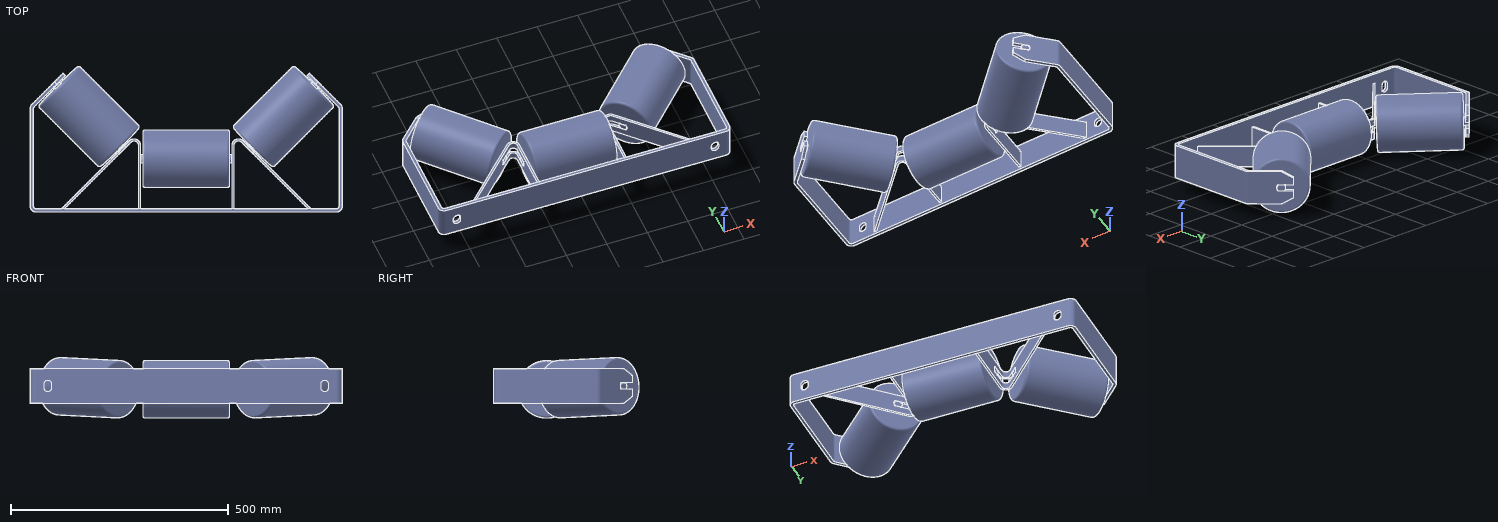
import cadquery as cq
import math


LEAN_ANGLE = 45.0
ROOT2 = math.sqrt(2)

FRAME_LENGTH = 720.0
FRAME_WIDTH = 80.0
FRAME_THICKNESS = 8.0
FRAME_INNER_RADIUS = 6.5
ARM_TIP_Y = 320.5
ARM_CHAMFER_LENGTH = 28.0
ARM_CHAMFER_WIDTH = 16.0
MOUNT_HOLE_INSET = 41.0
MOUNT_HOLE_WIDTH = 18.0
MOUNT_HOLE_HEIGHT = 26.0

ROLLER_DIAMETER = 133.0
ROLLER_LENGTH = 200.0
ROLLER_FILLET = 6.0
AXLE_DIAMETER = 20.0
AXLE_FLAT_WIDTH = 14.0
AXLE_SHOULDER = 4.0
ROLLER_GAP = 5.0
MIDDLE_ROLLER_Y = 123.0
SIDE_ROLLER_X = 224.0
SIDE_ROLLER_Y = 220.0
SIDE_ROLLER_TILT = 2.0

BRACKET_WIDTH = 50.0
BRACKET_THICKNESS = 5.0
BRACKET_INNER_RADIUS = 10.0
BRACKET_Z = -8.0

SLOT_WIDTH = 15.0
SLOT_END_RADIUS = 11.0

half_length = FRAME_LENGTH / 2
half_width = FRAME_WIDTH / 2
bracket_face = ROLLER_LENGTH / 2 + ROLLER_GAP
arm_face = ROLLER_LENGTH / 2 + ROLLER_GAP + FRAME_THICKNESS
inner_stub = ROLLER_GAP + BRACKET_THICKNESS
outer_stub = ROLLER_GAP + FRAME_THICKNESS
shoulder_y = SIDE_ROLLER_X + SIDE_ROLLER_Y + ROOT2 * arm_face - half_length
arm_tip_x = half_length - (ARM_TIP_Y - shoulder_y)
bracket_middle = bracket_face + BRACKET_THICKNESS / 2
side_roller_z = BRACKET_Z + bracket_middle * math.sin(math.radians(SIDE_ROLLER_TILT))


def slot_cutter(center, open_direction, through_direction, length, depth):
    """Slot with a round end about the axle, running from the center along open_direction."""
    plane = cq.Plane(origin=center, xDir=open_direction, normal=through_direction)
    half_slot = SLOT_WIDTH / 2
    chord = math.sqrt(SLOT_END_RADIUS**2 - half_slot**2)
    return (
        cq.Workplane(plane)
        .moveTo(length, half_slot)
        .lineTo(-chord, half_slot)
        .threePointArc((-SLOT_END_RADIUS, 0), (-chord, -half_slot))
        .lineTo(length, -half_slot)
        .close()
        .extrude(depth, both=True)
    )


def along_side_axis(distance):
    """Plan position on the right-hand roller axis, positive towards the arm."""
    step = distance / ROOT2
    return SIDE_ROLLER_X + step, SIDE_ROLLER_Y + step


def house_prism(inset, corner_radius):
    """Gabled prism whose walls are the frame faces, moved inwards by inset."""
    wall = half_length - inset
    shoulder = shoulder_y - inset * math.tan(math.radians(LEAN_ANGLE / 2))
    return (
        cq.Workplane("XY", origin=(0, 0, -half_width))
        .polyline([
            (-wall, inset),
            (wall, inset),
            (wall, shoulder),
            (0, shoulder + wall),
            (-wall, shoulder),
        ])
        .close()
        .extrude(FRAME_WIDTH)
        .edges("|Z")
        .fillet(corner_radius)
    )


def arm_trim():
    """Everything between and beyond the two square arm ends."""
    reach = half_length
    return (
        cq.Workplane("XY", origin=(0, 0, -half_width))
        .polyline([
            (0, ARM_TIP_Y - arm_tip_x),
            (reach, ARM_TIP_Y - arm_tip_x + reach),
            (0, ARM_TIP_Y + 2 * reach),
            (-reach, ARM_TIP_Y - arm_tip_x + reach),
        ])
        .close()
        .extrude(FRAME_WIDTH)
    )


def arm_chamfers(side):
    """Two wedges that take the corners off one arm end."""
    plane = cq.Plane(
        origin=(side * arm_tip_x, ARM_TIP_Y, 0), xDir=(side, -1, 0), normal=(side, 1, 0)
    )
    wedges = cq.Workplane(plane)
    for edge in (-1, 1):
        wedges = (
            wedges.moveTo(0, edge * half_width)
            .lineTo(ARM_CHAMFER_LENGTH, edge * half_width)
            .lineTo(0, edge * (half_width - ARM_CHAMFER_WIDTH))
            .close()
        )
    return wedges.extrude(2 * FRAME_THICKNESS, both=True)


def make_frame():
    outer = house_prism(0, FRAME_INNER_RADIUS + FRAME_THICKNESS)
    inner = house_prism(FRAME_THICKNESS, FRAME_INNER_RADIUS)
    frame = outer.cut(inner).cut(arm_trim())
    axle_x, axle_y = along_side_axis(arm_face)
    for side in (-1, 1):
        frame = frame.cut(arm_chamfers(side))
        frame = frame.cut(slot_cutter(
            (side * axle_x, axle_y, 0), (-side, 1, 0), (side, 1, 0),
            2 * ARM_CHAMFER_LENGTH, 2 * FRAME_THICKNESS,
        ))
    hole_x = half_length - MOUNT_HOLE_INSET
    mount_holes = (
        cq.Workplane("XZ")
        .pushPoints([(-hole_x, 0), (hole_x, 0)])
        .slot2D(MOUNT_HOLE_HEIGHT, MOUNT_HOLE_WIDTH, 90)
        .extrude(-FRAME_THICKNESS)
    )
    return frame.cut(mount_holes)


def bracket_prism(inset, corner_radius):
    """Triangular prism between the bracket legs, with both leg faces moved inwards by inset."""
    face_x, face_y = along_side_axis(-bracket_face - inset)
    upright_x = bracket_face + inset
    foot_y = FRAME_THICKNESS
    return (
        cq.Workplane("XY", origin=(0, 0, BRACKET_Z - BRACKET_WIDTH / 2))
        .polyline([
            (upright_x, foot_y),
            (face_x + face_y - foot_y, foot_y),
            (upright_x, face_x + face_y - upright_x),
        ])
        .close()
        .extrude(BRACKET_WIDTH)
        .edges("|Z and >Y")
        .fillet(corner_radius)
    )


def make_bracket(side):
    outer_radius = BRACKET_INNER_RADIUS + BRACKET_THICKNESS
    bracket = bracket_prism(0, outer_radius).cut(
        bracket_prism(BRACKET_THICKNESS, BRACKET_INNER_RADIUS)
    )
    slot_length = 4 * outer_radius
    upright_slot = slot_cutter(
        (bracket_face, MIDDLE_ROLLER_Y, BRACKET_Z), (0, 1, 0), (1, 0, 0),
        slot_length, 2 * outer_radius,
    )
    slant_x, slant_y = along_side_axis(-bracket_face)
    slant_slot = slot_cutter(
        (slant_x, slant_y, BRACKET_Z), (-1, 1, 0), (1, 1, 0),
        slot_length, 2 * BRACKET_THICKNESS,
    )
    bracket = bracket.cut(upright_slot).cut(slant_slot)
    return bracket if side > 0 else bracket.mirror("YZ")


def axle_bar(left, right):
    """Round bar along X that sticks out of the roller by the given lengths."""
    return (
        cq.Workplane("YZ", origin=(-ROLLER_LENGTH / 2 - left, 0, 0))
        .circle(AXLE_DIAMETER / 2)
        .extrude(left + ROLLER_LENGTH + right)
    )


def make_roller(left_stub, right_stub):
    """Roller along X, centred on the origin, with axle flats facing up and down."""
    drum = (
        cq.Workplane("YZ", origin=(-ROLLER_LENGTH / 2, 0, 0))
        .circle(ROLLER_DIAMETER / 2)
        .extrude(ROLLER_LENGTH)
        .faces("<X or >X")
        .edges()
        .fillet(ROLLER_FILLET)
    )
    axle_shoulders = axle_bar(left=AXLE_SHOULDER, right=AXLE_SHOULDER)
    axle_ends = axle_bar(left_stub, right_stub)
    flats = cq.Workplane("XY").box(2 * ROLLER_LENGTH, AXLE_DIAMETER, AXLE_FLAT_WIDTH)
    return drum.union(axle_shoulders).union(axle_ends.intersect(flats))


def make_side_roller(side):
    stubs = (inner_stub, outer_stub) if side > 0 else (outer_stub, inner_stub)
    return (
        make_roller(*stubs)
        .rotate((0, 0, 0), (0, 1, 0), -side * SIDE_ROLLER_TILT)
        .rotate((0, 0, 0), (0, 0, 1), side * LEAN_ANGLE)
        .translate((side * SIDE_ROLLER_X, SIDE_ROLLER_Y, side_roller_z))
    )


frame = make_frame()
middle_roller = make_roller(inner_stub, inner_stub).translate((0, MIDDLE_ROLLER_Y, BRACKET_Z))
brackets = []
side_rollers = []
for side in (-1, 1):
    brackets.append(make_bracket(side))
    side_rollers.append(make_side_roller(side))

result = cq.Compound.makeCompound([
    frame.val(),
    middle_roller.val(),
    *[bracket.val() for bracket in brackets],
    *[roller.val() for roller in side_rollers],
])